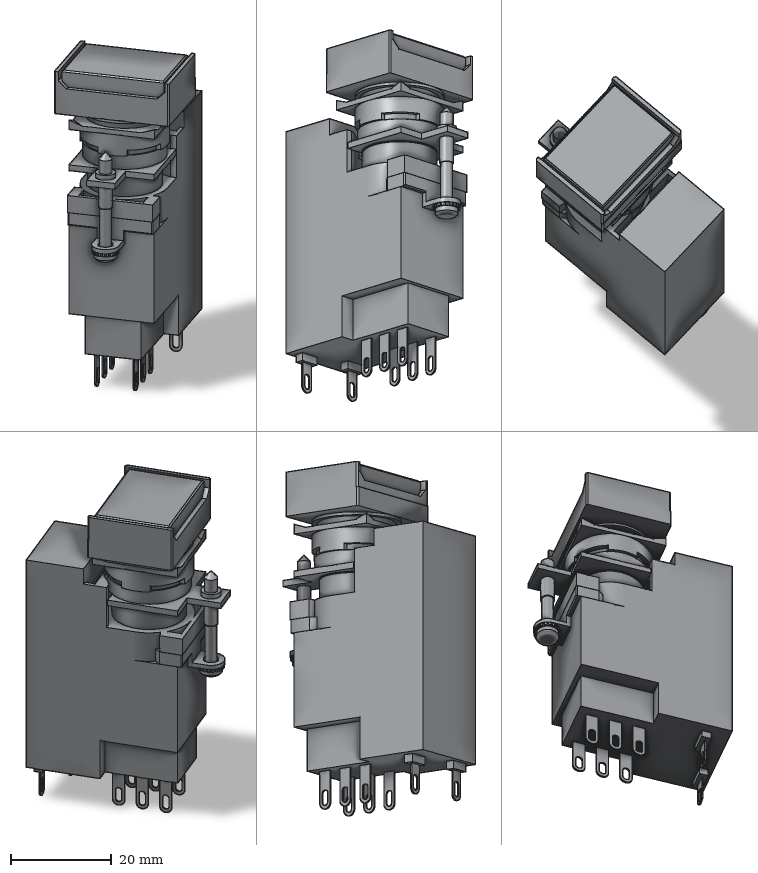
import cadquery as cq
import math


body_width = 17.8
half_width = body_width / 2
back_y = 22.8
front_y = -8.95
top_z = 46.45
shoulder_y = 10.75
shoulder_z = 43.05
ledge_y = 5.95
ledge_z = 34.15
seat_z = 27.75
bore_radius = 9.0
bore_mouth = 7.6
bore_flare_y = 6.66

clip_pocket_half_width = 8.05
clip_pocket_length = 2.15
clip_pocket_depth = 2.5
clip_pocket_step = 0.35
clip_pocket_lower_depth = 4.0

base_z = 8.55
base_half_width = 5.8
base_back_y = 7.3
base_front_y = -7.95

clamp_front_y = -9.97
clamp_split_z = 30.5
clamp_back_y = -5.2
upper_root_y = -4.9
lower_root_y = -4.0
clamp_edge = 0.27
clamp_relief = 0.04
cavity_half_width = 6.7
cavity_front_y = -9.05
cavity_radius = 9.1

screw_y = -12.98
tab_thickness = 0.97
tab_bottom = 24.85
tab_radius = 2.77
tab_hole_diameter = 3.05
shank_diameter = 2.35
point_diameter = 2.65
point_shoulder_z = 44.15
tip_z = 45.6
nut_diameter = 4.0
nut_height = 1.0
washer_diameter = 5.4
washer_height = 0.65
washer_teeth = 20
tooth_gap = 0.35
tooth_depth = 0.35
head_diameter = 4.55
head_straight = 0.95
head_dome = 0.7
dome_bulge = 0.1
head_flat_diameter = 2.6

plate_bottom = 39.05
plate_top = 40.3
plate_back_y = 5.7
plate_front_y = -8.95
tongue_front_y = -16.03
tongue_width = 5.9
sleeve_diameter = 2.75
sleeve_bottom = 33.8
ring_radius = 8.4

barrel_radius = 7.45
barrel_groove_radius = 7.3
barrel_groove_height = 0.2
collar_radius = half_width
collar_bottom = 43.3
collar_top = 47.8
notch_top = 44.55
notch_radius = 8.0
notch_half_span = 3.0
rim_flat_z = 48.85
rim_corner_z = 49.82
rim_corner_leg = 2.8
neck_radius = 7.9
flange_bottom = 50.25
cap_bottom = 50.85
cap_top = 59.85
cap_width = 23.9
cap_depth = 17.8
cap_edge = 0.3
back_step_top = 54.75
back_step = 0.13
window_sill_z = 56.4
window_bend_z = 58.0
window_half_width = 11.1
window_sill_half_width = 9.4
lens_half_width = 10.65
lens_half_depth = 7.9
lens_edge = 0.3

blade_width = 2.55
blade_length = 7.75
blade_thickness = 0.3
eye_width = 1.35
eye_top = 3.87
eye_bottom = 7.0
contact_x = (-4.25, 3.8)
contact_y = (4.95, 0, -4.95)
lamp_x = 5.0
lamp_y = (20.85, 18.0)
lamp_foot_width = 4.2
lamp_foot_depth = (1.75, 1.95)
lamp_foot_height = 1.65


def box(x0, x1, y0, y1, z0, z1):
    return cq.Workplane("XY").box(x1 - x0, y1 - y0, z1 - z0, centered=False).translate((x0, y0, z0))


def cylinder(radius, z0, z1, y=0):
    return cq.Workplane("XY", origin=(0, y, z0)).circle(radius).extrude(z1 - z0)


def on_circle(radius, other):
    return math.sqrt(radius**2 - other**2)


def blade():
    """Solder blade hanging below Z = 0, flat in the XZ plane, centred on X = Y = 0."""
    radius = blade_width / 2
    eye_length = eye_bottom - eye_top
    eye_z = -(eye_top + eye_bottom) / 2
    outline = (
        cq.Workplane("XZ")
        .moveTo(-radius, 0)
        .lineTo(-radius, radius - blade_length)
        .threePointArc((0, -blade_length), (radius, radius - blade_length))
        .lineTo(radius, 0)
        .close()
        .extrude(blade_thickness / 2, both=True)
    )
    eye = cq.Workplane("XZ").center(0, eye_z).slot2D(eye_length, eye_width, 90)
    eye = eye.extrude(blade_thickness, both=True)
    return outline.cut(eye)


def terminals():
    """Two rows of contact blades and two footed lamp blades."""
    parts = []
    for x in contact_x:
        for y in contact_y:
            parts.append(blade().rotate((0, 0, 0), (0, 0, 1), 90).translate((x, y, 0)))
    for x, y, depth in zip((-lamp_x, lamp_x), lamp_y, lamp_foot_depth):
        parts.append(blade().translate((x, y, 0)))
        foot = box(-lamp_foot_width / 2, lamp_foot_width / 2, -depth / 2, depth / 2, -lamp_foot_height, 0)
        parts.append(foot.translate((x, y, 0)))
    return parts


def clamp_layer(root_y, z0, z1, relief=0):
    """Slab across the housing front whose back corners slope in to the rounded seat."""
    root_x = on_circle(half_width, root_y)
    side_x = half_width - relief
    layer_front = clamp_front_y + relief
    return (
        cq.Workplane("XY", origin=(0, 0, z0))
        .polyline([
            (-root_x, root_y),
            (-side_x, clamp_back_y),
            (-side_x, layer_front),
            (side_x, layer_front),
            (side_x, clamp_back_y),
            (root_x, root_y),
        ])
        .close()
        .extrude(z1 - z0)
    )


def clamp_block():
    """Two-layer block with a corner cavity on each side of the rounded seat."""
    lower = clamp_layer(lower_root_y, seat_z, clamp_split_z, clamp_relief)
    lower = lower.faces("<Y").edges("|Z or <Z").chamfer(clamp_edge)
    upper = clamp_layer(upper_root_y, clamp_split_z, ledge_z)
    cavity = box(-cavity_half_width, cavity_half_width, cavity_front_y, 0, clamp_split_z, ledge_z)
    return lower.union(upper).cut(cavity.cut(cylinder(cavity_radius, clamp_split_z, ledge_z)))


def screw_tab():
    """L-shaped tab that drops down the front face and carries the screw head."""
    foot_top = tab_bottom + tab_thickness
    leg = box(-tab_radius, tab_radius, clamp_front_y + clamp_relief, front_y, tab_bottom, seat_z + clamp_edge)
    foot = box(-tab_radius, tab_radius, screw_y, front_y, tab_bottom, foot_top)
    foot = foot.union(cylinder(tab_radius, tab_bottom, foot_top, screw_y))
    return leg.union(foot).cut(cylinder(tab_hole_diameter / 2, tab_bottom, foot_top, screw_y))


def barrel_clearance():
    """Bore in the wall behind the barrel, with flared front edges."""
    flare_x = on_circle(bore_radius, bore_flare_y)
    flare = (
        cq.Workplane("XY", origin=(0, 0, ledge_z))
        .polyline([
            (-bore_mouth, ledge_y),
            (-flare_x, bore_flare_y),
            (flare_x, bore_flare_y),
            (bore_mouth, ledge_y),
        ])
        .close()
        .extrude(shoulder_z - ledge_z)
    )
    return cylinder(bore_radius, ledge_z, shoulder_z).union(flare)


def clip_pocket():
    """Stepped pocket in the shoulder, against the tower."""
    half = clip_pocket_half_width
    front = shoulder_y - clip_pocket_length
    inner = half - clip_pocket_step
    upper = box(-half, half, front, shoulder_y, shoulder_z - clip_pocket_depth, shoulder_z)
    lower = box(-inner, inner, front, shoulder_y - clip_pocket_step,
                shoulder_z - clip_pocket_lower_depth, shoulder_z)
    return upper.union(lower)


def make_housing():
    """Switch housing with its clamp block, screw tab and solder terminals."""
    profile = (
        cq.Workplane("YZ")
        .polyline([
            (back_y, 0),
            (back_y, top_z),
            (shoulder_y, top_z),
            (shoulder_y, shoulder_z),
            (ledge_y, shoulder_z),
            (ledge_y, ledge_z),
            (0, ledge_z),
            (0, seat_z),
            (front_y, seat_z),
            (front_y, base_z),
            (base_back_y, base_z),
            (base_back_y, 0),
        ])
        .close()
        .extrude(half_width, both=True)
    )
    body = profile.union(box(-base_half_width, base_half_width, base_front_y, base_back_y, 0, base_z))
    round_seat = cylinder(half_width, seat_z, ledge_z)
    cavity_wall = cylinder(cavity_radius, clamp_split_z, ledge_z)
    cavity_wall = cavity_wall.intersect(
        box(-cavity_half_width, cavity_half_width, clamp_front_y, clamp_back_y, clamp_split_z, ledge_z))
    body = body.union(round_seat).union(clamp_block()).union(cavity_wall).union(screw_tab())
    body = body.cut(barrel_clearance()).cut(clip_pocket())
    for terminal in terminals():
        body = body.union(terminal)
    return body


def make_plate():
    """Tongued plate with a ring around the barrel and a sleeve around the screw."""
    plate = box(-half_width, half_width, plate_front_y, plate_back_y, plate_bottom, plate_top)
    tongue = box(-tongue_width / 2, tongue_width / 2, tongue_front_y, plate_front_y, plate_bottom, plate_top)
    ring = cylinder(ring_radius, plate_top, collar_bottom)
    sleeve = cylinder(sleeve_diameter / 2, sleeve_bottom, plate_bottom, screw_y)
    plate = plate.union(tongue).union(ring).union(sleeve)
    plate = plate.cut(cylinder(barrel_radius, plate_bottom, collar_bottom))
    return plate.cut(cylinder(shank_diameter / 2, sleeve_bottom, plate_top, screw_y))


def make_screw():
    """Screw turned about its axis, with a toothed washer under the tab."""
    washer_bottom = tab_bottom - washer_height
    dome_z = washer_bottom - head_straight
    head_bottom = dome_z - head_dome
    dome_middle = (
        (head_diameter + head_flat_diameter) / 4 + dome_bulge,
        (dome_z + head_bottom) / 2 - dome_bulge,
    )
    turned = (
        cq.Workplane("XZ")
        .moveTo(0, head_bottom)
        .lineTo(head_flat_diameter / 2, head_bottom)
        .threePointArc(dome_middle, (head_diameter / 2, dome_z))
        .lineTo(head_diameter / 2, washer_bottom)
        .lineTo(washer_diameter / 2, washer_bottom)
        .lineTo(washer_diameter / 2, tab_bottom)
        .lineTo(shank_diameter / 2, tab_bottom)
        .lineTo(shank_diameter / 2, plate_top)
        .lineTo(nut_diameter / 2, plate_top)
        .lineTo(nut_diameter / 2, plate_top + nut_height)
        .lineTo(point_diameter / 2, plate_top + nut_height)
        .lineTo(point_diameter / 2, point_shoulder_z)
        .lineTo(0, tip_z)
        .close()
        .revolve(360, (0, 0, 0), (0, 1, 0))
    )
    gaps = (
        cq.Workplane("XY", origin=(0, 0, washer_bottom))
        .polarArray(washer_diameter / 2, 0, 360, washer_teeth)
        .rect(2 * tooth_depth, tooth_gap)
        .extrude(washer_height)
    )
    return turned.cut(gaps).translate((0, screw_y, 0))


def collar():
    """Round collar with four bayonet notches in its lower edge."""
    body = cylinder(collar_radius, collar_bottom, collar_top)
    for sx in (-1, 1):
        for sy in (-1, 1):
            x0, x1 = sorted((sx * notch_half_span, sx * collar_radius))
            y0, y1 = sorted((sy * notch_half_span, sy * collar_radius))
            notch = box(x0, x1, y0, y1, collar_bottom, notch_top)
            body = body.cut(notch.cut(cylinder(notch_radius, collar_bottom, notch_top)))
    return body


def square_rim():
    """Square seat under the cap whose four corners ramp upward."""
    rim = box(-half_width, half_width, -half_width, half_width, collar_top, rim_flat_z)
    corner = cq.Vector(half_width, half_width, rim_flat_z)
    left_foot = cq.Vector(half_width - rim_corner_leg, half_width, rim_flat_z)
    front_foot = cq.Vector(half_width, half_width - rim_corner_leg, rim_flat_z)
    peak = cq.Vector(half_width, half_width, rim_corner_z)
    faces = [
        cq.Face.makeFromWires(cq.Wire.makePolygon(list(points), close=True))
        for points in (
            (corner, left_foot, front_foot),
            (corner, left_foot, peak),
            (corner, front_foot, peak),
            (left_foot, front_foot, peak),
        )
    ]
    ramp = cq.Workplane(cq.Solid.makeSolid(cq.Shell.makeShell(faces)))
    for quarter in range(4):
        rim = rim.union(ramp.rotate((0, 0, 0), (0, 0, 1), 90 * quarter))
    return rim


def cap():
    """Rectangular frame, open over the front and back of the lens that fills it."""
    frame = box(-cap_width / 2, cap_width / 2, -cap_depth / 2, cap_depth / 2, cap_bottom, cap_top)
    step = box(-cap_width / 2, cap_width / 2, 0, cap_depth / 2 + back_step, cap_bottom, back_step_top)
    frame = frame.edges("|Z").chamfer(cap_edge).union(step.edges("|Z and >Y").chamfer(cap_edge))
    opening = (
        cq.Workplane("XZ")
        .polyline([
            (-window_half_width, cap_top),
            (-window_half_width, window_bend_z),
            (-window_sill_half_width, window_sill_z),
            (window_sill_half_width, window_sill_z),
            (window_half_width, window_bend_z),
            (window_half_width, cap_top),
        ])
        .close()
        .extrude(cap_depth, both=True)
    )
    lens = box(-lens_half_width, lens_half_width, -lens_half_depth, lens_half_depth, window_sill_z, cap_top)
    return frame.cut(opening).union(lens.faces(">Z").edges().chamfer(lens_edge))


def make_operator():
    """Cap, neck, square seat and collar on the barrel that stands on the housing."""
    body = cylinder(barrel_radius, ledge_z, collar_bottom)
    groove_bottom = plate_bottom - barrel_groove_height
    groove = cylinder(barrel_radius, groove_bottom, plate_bottom)
    body = body.cut(groove.cut(cylinder(barrel_groove_radius, groove_bottom, plate_bottom)))
    body = body.union(collar()).union(square_rim())
    body = body.union(cylinder(neck_radius, rim_flat_z, flange_bottom))
    body = body.union(cylinder(collar_radius, flange_bottom, cap_bottom))
    return body.union(cap())


housing = make_housing()
plate = make_plate()
screw = make_screw()
operator = make_operator()

result = cq.Compound.makeCompound([housing.val(), plate.val(), screw.val(), operator.val()])